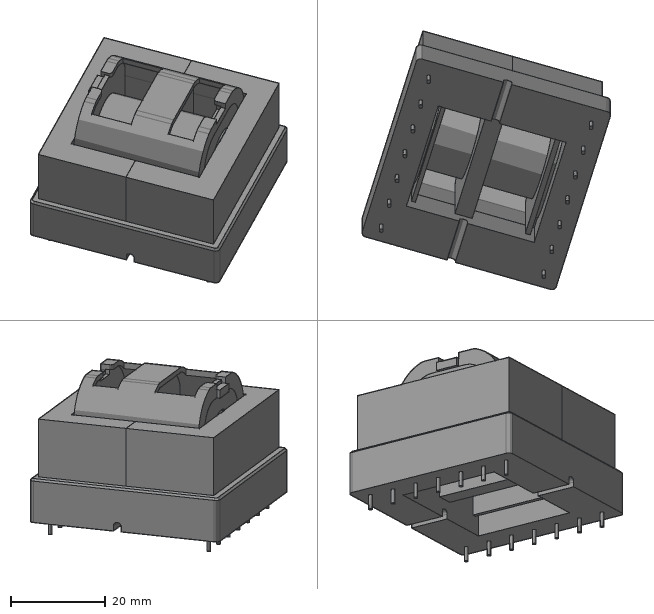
import cadquery as cq
import math


base_length = 43.1
base_width = 41.8
base_height = 9.65
base_corner_radius = 1.0
base_chamfer = 0.45
base_notch_x = 1.5
base_notch_width = 1.8
base_notch_height = 2.0

pin_diameter = 0.8
pin_length = 3.2
pin_row_x = 18.05
pin_pitch = 5.83
pins_per_row = 7

core_length = 39.9
core_width = 39.1
core_height = 12.8
core_window_length = 29.2
core_window_width = 27.9
core_seat_gap = 0.2
core_leg_diameter = 12.5
core_bottom = base_height + core_seat_gap
core_yoke = (core_length - core_window_length) / 2
axis_z = core_bottom + core_height / 2

cover_top = 29.45
cover_length = 28.4
cover_half_width = 13.6
cover_shoulder_radius = 9.6
cover_crest_fillet = 3.5
cover_wall = 1.1
shoulder_z = 20.2
lip_left_thickness = 0.9
lip_right_thickness = 1.1
cover_end_x = cover_length / 2
lip_left_x = -cover_end_x + lip_left_thickness
lip_right_x = cover_end_x - lip_right_thickness

window_half_width = 9.3
divider_start = -2.7
divider_end = 5.7
windows = [(-11.75, divider_start), (divider_end, 11.45)]

notch_width = 5.2
left_tongue_top = 28.8
right_sill_top = 28.1
right_flange_notch_floor = 27.3
notch_corner_radius = 0.8

tube_diameter = 15.0
bore_diameter = 13.1
boss_width = 20.0
boss_radius = 5.8
cavity_half_width = cover_half_width - cover_wall
cavity_radius = cover_shoulder_radius - cover_wall
flange_half_width = 11.75
flange_top = cover_top - cover_wall
flange_bottom = 2 * axis_z - flange_top
flange_left_end = -12.2
flange_right_start = 12.2
divider_overhang = 2.3
latch_end_x = -14.95
latch_top = right_sill_top
latch_bottom = axis_z + boss_width / 2


def box_between(x_range, y_range, z_range):
    """Axis-aligned box given by its limits."""
    sizes = [high - low for low, high in (x_range, y_range, z_range)]
    corner = (x_range[0], y_range[0], z_range[0])
    return cq.Workplane("XY").box(*sizes, centered=False).translate(corner)


def cylinder_along_x(diameter, x_start, x_end):
    """Round bar on the coil axis."""
    return (
        cq.Workplane("YZ", origin=(x_start, 0, axis_z))
        .circle(diameter / 2)
        .extrude(x_end - x_start)
    )


def arched_block(half_width, radius, bottom, top, x_start, x_end):
    """Straight-sided block with round shoulders that a flat top cuts off."""
    center_y = half_width - radius
    rise = top - shoulder_z
    crest_y = center_y + math.sqrt(radius**2 - rise**2)
    middle_angle = math.asin(rise / radius) / 2
    middle_y = center_y + radius * math.cos(middle_angle)
    middle_z = shoulder_z + radius * math.sin(middle_angle)
    return (
        cq.Workplane("YZ", origin=(x_start, 0, 0))
        .moveTo(-half_width, bottom)
        .lineTo(half_width, bottom)
        .lineTo(half_width, shoulder_z)
        .threePointArc((middle_y, middle_z), (crest_y, top))
        .lineTo(-crest_y, top)
        .threePointArc((-middle_y, middle_z), (-half_width, shoulder_z))
        .close()
        .extrude(x_end - x_start)
    )


def flange(x_start, x_end):
    """Former wall that follows the cover's arch and stops short of its straight sides."""
    arch = arched_block(
        cavity_half_width, cavity_radius, flange_bottom, flange_top, x_start, x_end
    )
    straight_sides = box_between(
        (x_start, x_end), (-flange_half_width, flange_half_width), (flange_bottom, flange_top)
    )
    return arch.intersect(straight_sides)


def end_boss(x_start, x_end):
    """Rounded square block around the coil axis."""
    return (
        cq.Workplane("YZ", origin=(x_start, 0, axis_z))
        .rect(boss_width, boss_width)
        .extrude(x_end - x_start)
        .edges("|X")
        .fillet(boss_radius)
    )


def make_base():
    """Rounded box with an opening below the coil and a row of pins at each end."""
    base = (
        cq.Workplane("XY")
        .box(base_length, base_width, base_height, centered=(True, True, False))
        .edges("|Z")
        .fillet(base_corner_radius)
        .faces(">Z")
        .chamfer(base_chamfer)
    )
    opening = cq.Workplane("XY").rect(cover_length, 2 * flange_half_width).extrude(base_height)
    base = base.cut(opening)
    for row_x in (-pin_row_x, pin_row_x):
        for index in range(pins_per_row):
            pin_y = (index - (pins_per_row - 1) / 2) * pin_pitch
            pin = (
                cq.Workplane("XY", origin=(row_x, pin_y, -pin_length))
                .circle(pin_diameter / 2)
                .extrude(pin_length)
            )
            base = base.union(pin)
    return base


def base_notch():
    """Round-topped passage across the underside of the base."""
    radius = base_notch_width / 2
    side_height = base_notch_height - radius
    return (
        cq.Workplane("XZ", origin=(base_notch_x, base_width / 2, 0))
        .moveTo(-radius, 0)
        .lineTo(-radius, side_height)
        .threePointArc((0, base_notch_height), (radius, side_height))
        .lineTo(radius, 0)
        .close()
        .extrude(base_width)
    )


def end_notch(x_start, x_end, floor):
    """Slot across one end of the coil, open upward."""
    half_notch = notch_width / 2
    return box_between((x_start, x_end), (-half_notch, half_notch), (floor, cover_top))


def make_former():
    """Base, pins, winding tube, flanges and latch as one body."""
    half_notch = notch_width / 2
    former = make_base()
    former = former.union(cylinder_along_x(tube_diameter, -cover_end_x, cover_end_x))
    former = former.union(flange(lip_left_x, flange_left_end))
    former = former.union(flange(divider_start + divider_overhang, divider_end - divider_overhang))
    former = former.union(flange(flange_right_start, lip_right_x))
    former = former.union(end_boss(-cover_end_x, lip_left_x))
    former = former.union(end_boss(lip_right_x, cover_end_x))
    latch = box_between(
        (latch_end_x, lip_left_x), (-half_notch, half_notch), (latch_bottom, latch_top)
    )
    tongue = box_between(
        (lip_left_x, flange_left_end), (-half_notch, half_notch), (flange_top, left_tongue_top)
    )
    former = former.union(latch).union(tongue)
    former = former.cut(end_notch(flange_right_start, lip_right_x, right_flange_notch_floor))
    former = former.cut(cylinder_along_x(bore_diameter, -cover_end_x, cover_end_x))
    return former.cut(base_notch())


def make_cover():
    """Arched cover with open windows, end lips around the bosses and end notches."""
    cover = arched_block(
        cover_half_width, cover_shoulder_radius, base_height, cover_top, -cover_end_x, cover_end_x
    )
    cover = cover.edges("|X and >Z").fillet(cover_crest_fillet)

    cavity = arched_block(
        cavity_half_width, cavity_radius, base_height, flange_top, lip_left_x, lip_right_x
    )
    cover = cover.cut(cavity)
    cover = cover.cut(end_boss(-cover_end_x, cover_end_x))

    for x_start, x_end in windows:
        window = box_between(
            (x_start, x_end), (-window_half_width, window_half_width), (axis_z, cover_top)
        )
        cover = cover.cut(window)

    left_edge = windows[0][0]
    right_edge = windows[1][1]
    cover = cover.cut(end_notch(-cover_end_x, lip_left_x, latch_bottom))
    cover = cover.cut(end_notch(lip_left_x, left_edge, flange_top))
    cover = cover.cut(end_notch(lip_right_x, cover_end_x, right_sill_top))
    cover = cover.cut(end_notch(right_edge, lip_right_x, flange_top))
    for edge_x, outward in ((left_edge, -1), (right_edge, 1)):
        for side in (-1, 1):
            cover = cover.cut(notch_corner(edge_x, outward, side))
    return cover


def notch_corner(edge_x, outward, side):
    """Waste that rounds the corner between a window and an end notch."""
    radius = notch_corner_radius
    corner_y = side * notch_width / 2
    center_x = edge_x + outward * radius
    center_y = corner_y + side * radius
    height = cover_top - flange_top
    square_center = ((edge_x + center_x) / 2, (corner_y + center_y) / 2, flange_top)
    square = (
        cq.Workplane("XY", origin=square_center)
        .rect(radius, radius)
        .extrude(height)
    )
    round_part = (
        cq.Workplane("XY", origin=(center_x, center_y, flange_top)).circle(radius).extrude(height)
    )
    return square.cut(round_part)


def make_core_half(side):
    """E-shaped core half: yoke, two outer legs and a round centre leg."""
    outer = (
        cq.Workplane("XY", origin=(side * core_length / 4, 0, core_bottom))
        .box(core_length / 2, core_width, core_height, centered=(True, True, False))
    )
    window = (
        cq.Workplane("XY", origin=(0, 0, core_bottom))
        .rect(core_window_length, core_window_width)
        .extrude(core_height)
    )
    leg_end = side * (core_length / 2 - core_yoke)
    leg = cylinder_along_x(core_leg_diameter, min(0, leg_end), max(0, leg_end))
    return outer.cut(window).union(leg)


former = make_former()
cover = make_cover()
core_halves = [make_core_half(side) for side in (-1, 1)]

result = cq.Compound.makeCompound(
    [former.val(), cover.val()] + [half.val() for half in core_halves]
)